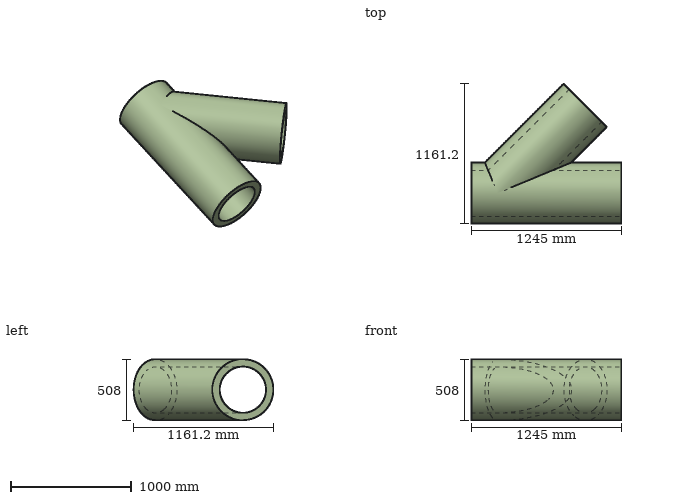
import cadquery as cq

run_length = 1245.0
outer_diameter = 508.0
bore_diameter = 382.0
branch_angle = 45.0
branch_length = 1029.0
junction_x = 217.0


def run_cylinder(diameter):
    """Cylinder along the full run, on the X axis."""
    return cq.Workplane("YZ").circle(diameter / 2).extrude(run_length)


def branch_cylinder(diameter):
    """Cylinder from the axis intersection to the branch end, inclined in the XY plane."""
    return (
        cq.Workplane("YZ")
        .circle(diameter / 2)
        .extrude(branch_length)
        .rotate((0, 0, 0), (0, 0, 1), branch_angle)
        .translate((junction_x, 0, 0))
    )


body = run_cylinder(outer_diameter).union(branch_cylinder(outer_diameter))
bores = run_cylinder(bore_diameter).union(branch_cylinder(bore_diameter))
result = body.cut(bores)